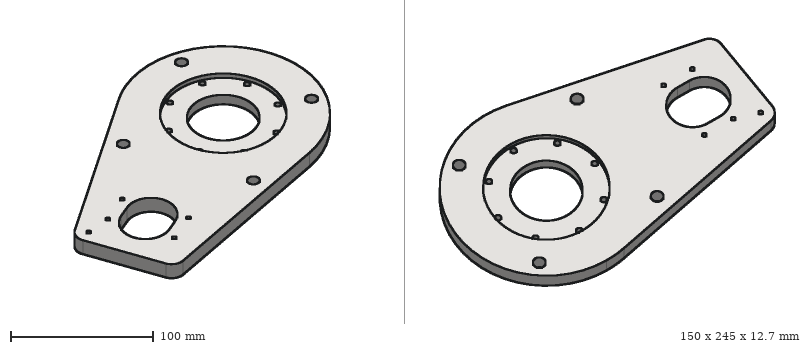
import cadquery as cq
import math

thickness = 12.7
overall_length = 245.0
head_radius = 75.0
foot_half_width = 40.0
foot_corner_radius = 10.0
foot_y = head_radius - overall_length

bore_diameter = 51.0
recess_diameter = 88.9
recess_depth = 4.0
seat_hole_count = 8
seat_hole_circle_radius = 41.0
seat_hole_diameter = 4.5

mount_spacing = 100.0
mount_center_y = -10.0
mount_hole_diameter = 9.0

slot_center_y = -129.0
slot_width = 37.0
slot_length = 47.0
slot_screw_spacing_x = 51.0
slot_screw_spacing_y = 24.5
small_hole_diameter = 3.2

corner_distance = math.hypot(foot_half_width, foot_y)
corner_angle = math.atan2(-foot_y, foot_half_width)
taper_angle = corner_angle - math.acos(head_radius / corner_distance)
tangent_x = head_radius * math.cos(taper_angle)
tangent_y = -head_radius * math.sin(taper_angle)

blend_x = head_radius * math.cos(taper_angle / 2)
blend_y = -head_radius * math.sin(taper_angle / 2)

corner_setback = foot_corner_radius * math.tan((math.pi / 2 - taper_angle) / 2)
foot_hole_x = corner_setback - foot_half_width
foot_hole_y = foot_y + foot_corner_radius


def make_plate():
    """Tangent-sided plate with rounded foot corners."""
    plate = (
        cq.Workplane("XY")
        .moveTo(-foot_half_width, foot_y)
        .lineTo(foot_half_width, foot_y)
        .lineTo(tangent_x, tangent_y)
        .threePointArc((blend_x, blend_y), (head_radius, 0))
        .threePointArc((0, head_radius), (-head_radius, 0))
        .threePointArc((-blend_x, blend_y), (-tangent_x, tangent_y))
        .close()
        .extrude(thickness)
    )
    return plate.faces("<Y").edges("|Z").fillet(foot_corner_radius)


def through_holes(points, diameter):
    """Cylinders through the full thickness at the given XY points."""
    return cq.Workplane("XY").pushPoints(points).circle(diameter / 2).extrude(thickness)


def rectangle_corners(spacing_x, spacing_y, center_y):
    """Corners of a rectangle centred on the Y axis."""
    return [
        (side_x * spacing_x / 2, center_y + side_y * spacing_y / 2)
        for side_x in (-1, 1)
        for side_y in (-1, 1)
    ]


def cut_bearing_seat(plate):
    """Central bore, shallow round recess on top and a ring of screw holes."""
    recess = (
        cq.Workplane("XY")
        .workplane(offset=thickness - recess_depth)
        .circle(recess_diameter / 2)
        .extrude(recess_depth)
    )
    ring_angles = [2 * math.pi * i / seat_hole_count for i in range(seat_hole_count)]
    ring_points = [
        (seat_hole_circle_radius * math.cos(a), seat_hole_circle_radius * math.sin(a))
        for a in ring_angles
    ]
    plate = plate.cut(recess)
    plate = plate.cut(through_holes([(0, 0)], bore_diameter))
    return plate.cut(through_holes(ring_points, seat_hole_diameter))


def cut_mounting_holes(plate):
    """Four large holes on a square."""
    points = rectangle_corners(mount_spacing, mount_spacing, mount_center_y)
    return plate.cut(through_holes(points, mount_hole_diameter))


def cut_slot(plate):
    """Elongated opening along Y with four screw holes around it."""
    slot = (
        cq.Workplane("XY")
        .center(0, slot_center_y)
        .slot2D(slot_length, slot_width, 90)
        .extrude(thickness)
    )
    screws = rectangle_corners(slot_screw_spacing_x, slot_screw_spacing_y, slot_center_y)
    return plate.cut(slot).cut(through_holes(screws, small_hole_diameter))


def cut_foot_hole(plate):
    """Single small hole in the left foot corner."""
    return plate.cut(through_holes([(foot_hole_x, foot_hole_y)], small_hole_diameter))


result = make_plate()
result = cut_bearing_seat(result)
result = cut_mounting_holes(result)
result = cut_slot(result)
result = cut_foot_hole(result)